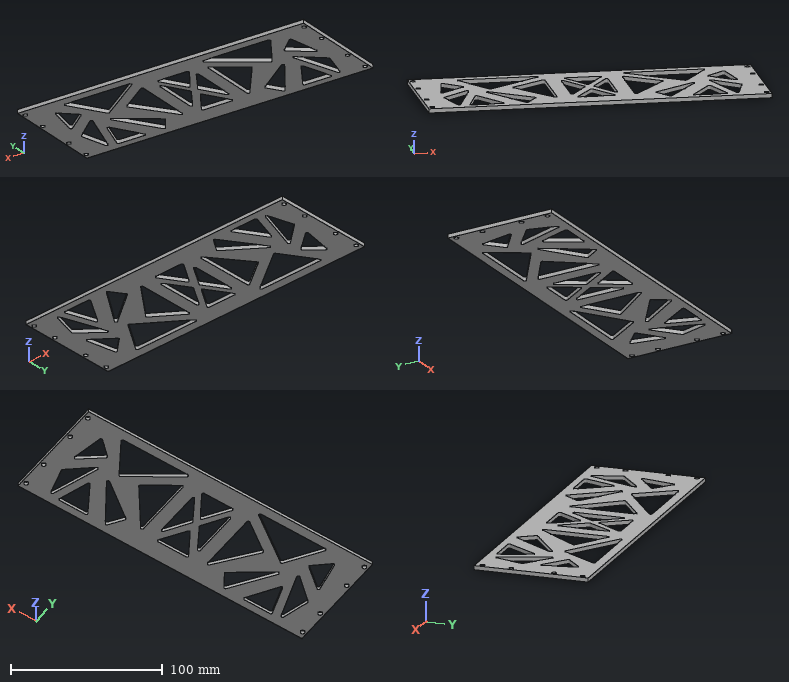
import cadquery as cq

LENGTH = 230.0
WIDTH = 80.0
THICKNESS = 3.0

HOLE_DIAMETER = 3.0
HOLE_EDGE_INSET = 3.0
HOLE_X = LENGTH / 2 - HOLE_EDGE_INSET
HOLE_INNER_Y = 15.0
HOLE_OUTER_Y = 35.0

CORNER_RADIUS = 1.0
WINDOW_TOP_Y = 33.0
WINDOW_BOTTOM_Y = -34.3
INNER_EDGE_X = -26.0

PANEL_HALF_HEIGHT = 26.0
PANEL_HALF_BASE = 13.15
PANEL_TIP_Y = 5.65
SIDE_BASE_X = 15.6
SIDE_TIP_X = 2.7
SIDE_HALF_HEIGHT = 20.45
SIDE_CENTRE_Y = 1.0

LEFT_WINDOWS = [
    [(-83.5, WINDOW_TOP_Y), (-65.6, 5.5), (-26.6, WINDOW_TOP_Y)],
    [(-50.6, 6.8), (INNER_EDGE_X, 24.15), (INNER_EDGE_X, -25.25)],
    [(-99.8, -0.25), (-94.65, 26.45), (-81.3, 14.4)],
    [(-99.8, -11.6), (-93.3, -34.7), (-79.55, 5.65)],
    [(-86.5, WINDOW_BOTTOM_Y), (-78.25, -9.5), (-62.55, WINDOW_BOTTOM_Y)],
    [(-72.75, 1.6), (-48.05, -34.6), (-39.9, -22.45)],
    [
        (-SIDE_BASE_X, SIDE_CENTRE_Y - SIDE_HALF_HEIGHT),
        (-SIDE_BASE_X, SIDE_CENTRE_Y + SIDE_HALF_HEIGHT),
        (-SIDE_TIP_X, SIDE_CENTRE_Y),
    ],
]


def mirrored_in_x(corners):
    """Corners reflected across the plane X = 0."""
    return [(-x, y) for x, y in corners]


def panel_window(direction):
    """Corners of the central window above (+1) or below (-1) the crossing."""
    base_y = direction * PANEL_HALF_HEIGHT
    return [
        (-PANEL_HALF_BASE, base_y),
        (PANEL_HALF_BASE, base_y),
        (0, direction * PANEL_TIP_Y),
    ]


def window_cutter(corners):
    """Triangular prism through the plate with rounded upright edges."""
    prism = cq.Workplane("XY").polyline(corners).close().extrude(THICKNESS)
    return prism.edges("|Z").fillet(CORNER_RADIUS)


def make_plate():
    """Flat rectangular plate with its rows of mounting holes."""
    hole_centres = [
        (x, y)
        for x in (-HOLE_X, HOLE_X)
        for y in (-HOLE_OUTER_Y, -HOLE_INNER_Y, HOLE_INNER_Y, HOLE_OUTER_Y)
    ]
    plate = cq.Workplane("XY").box(LENGTH, WIDTH, THICKNESS, centered=(True, True, False))
    return plate.faces(">Z").workplane().pushPoints(hole_centres).hole(HOLE_DIAMETER)


windows = [panel_window(1), panel_window(-1)]
for left_window in LEFT_WINDOWS:
    windows.append(left_window)
    windows.append(mirrored_in_x(left_window))

result = make_plate()
for window in windows:
    result = result.cut(window_cutter(window))